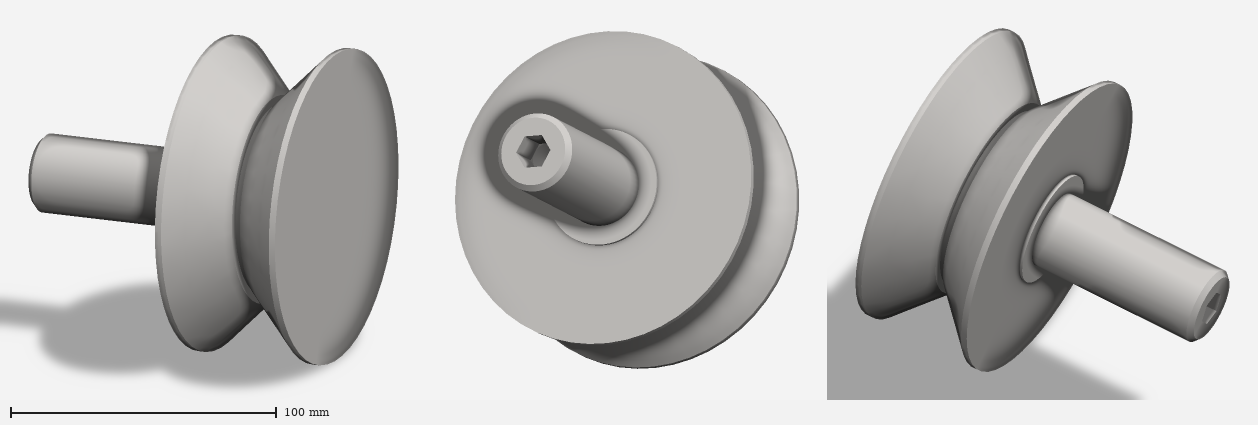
import cadquery as cq
import math

total_length = 120.5
shaft_diameter = 30.0
shaft_length = 70.0
shaft_chamfer = 2.0
socket_across_flats = 12.0
socket_depth = 15.0
drill_point_angle = 120.0

shoulder_diameter = 44.5
shoulder_width = 1.5

wheel_diameter = 120.0
rim_width = 2.5
relief_width = 3.3
relief_diameter = 72.8
wheel_start = shaft_length + shoulder_width
wheel_middle = (wheel_start + total_length) / 2

shaft_radius = shaft_diameter / 2
shoulder_radius = shoulder_diameter / 2
wheel_radius = wheel_diameter / 2
relief_radius = relief_diameter / 2
relief_start = wheel_middle - relief_width / 2
relief_end = wheel_middle + relief_width / 2
groove_start = wheel_start + rim_width
groove_end = total_length - rim_width
flank_end_radius = wheel_radius - (relief_start - groove_start)


def make_roller():
    """Revolve the shaft, shoulder and wheel about the X axis."""
    profile = [
        (0, 0),
        (0, shaft_radius - shaft_chamfer),
        (shaft_chamfer, shaft_radius),
        (shaft_length, shaft_radius),
        (shaft_length, shoulder_radius),
        (wheel_start, shoulder_radius),
        (wheel_start, wheel_radius),
        (groove_start, wheel_radius),
        (relief_start, flank_end_radius),
        (relief_start, relief_radius),
        (relief_end, relief_radius),
        (relief_end, flank_end_radius),
        (groove_end, wheel_radius),
        (total_length, wheel_radius),
        (total_length, 0),
    ]
    return cq.Workplane("XY").polyline(profile).close().revolve(360, (0, 0, 0), (1, 0, 0))


def make_socket():
    """Hexagon socket with corners along Y and a conical drilled bottom."""
    across_corners = socket_across_flats / math.cos(math.pi / 6)
    hexagon = cq.Workplane("YZ").polygon(6, across_corners).extrude(socket_depth)
    drill_radius = socket_across_flats / 2
    point_length = drill_radius / math.tan(math.radians(drill_point_angle / 2))
    point_profile = [
        (socket_depth, 0),
        (socket_depth, drill_radius),
        (socket_depth + point_length, 0),
    ]
    drill_point = (
        cq.Workplane("XY").polyline(point_profile).close().revolve(360, (0, 0, 0), (1, 0, 0))
    )
    return hexagon.union(drill_point)


result = make_roller().cut(make_socket())